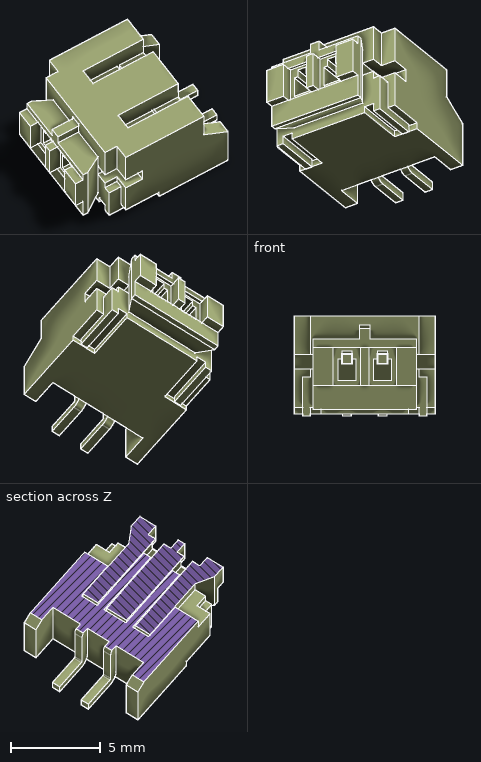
import cadquery as cq
import math


width = 7.9
height = 5.6
board_clearance = 0.1
body_depth = 5.99
wing_depth = 7.59
wing_thickness = 0.82
wing_slope = 30.0
wing_rear_height = 2.88

corner_width = 0.91
corner_depth = 0.8
foot_pocket_width = 1.51
foot_pocket_depth = 3.01
foot_height = 0.49
side_slot_bottom = 2.64
side_slot_height = 0.8
side_slot_depth = 1.9
top_slot_width = 1.01
top_slot_front = 2.0
cavity_depth = 4.39

tab_thickness = 0.43
tab_length = 2.91
tab_height = 2.19

pitch = 1.99
pin_size = 0.5
pin_top = 3.44
pin_tip = 0.0
pin_rear = 8.6
inner_bend = 0.07

plug_width = 4.62
plug_bottom = 0.78
plug_top = 4.31
plug_depth = 4.26
flange_width = 5.8
flange_bottom = 0.38
flange_front = -1.36
flange_taper_front = -1.05
rib_width = 0.6
rib_top = 4.9
rib_headroom = 0.2
bar_front = -1.86
side_bar_width = 1.12
middle_bar_width = 0.46
face_recess_bottom = 1.7
face_recess_top = 3.82
face_recess_depth = 0.2

chamber_depth = 2.93
chamber_bottom = 1.98
chamber_height = 1.21
chamber_width = 1.01
latch_slot_width = 0.56
latch_slot_top = 3.64
pin_hole_size = 0.6
pin_hole_bottom = 2.9

contact_positions = [-pitch / 2, pitch / 2]
pin_bottom = pin_top - pin_size
outer_bend = inner_bend + pin_size
tab_inside = width / 2 - corner_width


def box(x_range, y_range, z_range):
    """Box between the given pairs of coordinates."""
    (x0, x1), (y0, y1), (z0, z1) = x_range, y_range, z_range
    return cq.Workplane("XY").box(x1 - x0, y1 - y0, z1 - z0, centered=False).translate((x0, y0, z0))


def centered_box(box_width, y_range, z_range, x=0):
    """Box of a given width that is centred on x."""
    return box((x - box_width / 2, x + box_width / 2), y_range, z_range)


def both_sides(shape):
    """The shape together with its mirror image across the middle of the connector."""
    return shape.union(shape.mirror("YZ"))


def make_wing():
    """Side wall that runs on behind the body and slopes down to the rear."""
    slope_rise = (wing_depth - body_depth) * math.tan(math.radians(wing_slope))
    return (
        cq.Workplane("YZ")
        .moveTo(body_depth, board_clearance)
        .lineTo(wing_depth, board_clearance)
        .lineTo(wing_depth, wing_rear_height)
        .lineTo(body_depth, wing_rear_height + slope_rise)
        .close()
        .extrude(wing_thickness)
        .translate((width / 2 - wing_thickness, 0, 0))
    )


def make_tab():
    """L-shaped solder tab with its upright at the mouth and its foot on the board."""
    x_range = (tab_inside, tab_inside + tab_thickness)
    upright = box(x_range, (0, corner_depth), (0, tab_height))
    foot = box(x_range, (0, tab_length), (0, foot_height))
    return upright.union(foot)


def make_pin(x):
    """Square contact pin: straight through the rear wall, down behind it, then back along the board."""
    leg_rear = body_depth + pin_size
    upper_center = (leg_rear - outer_bend, pin_top - outer_bend)
    lower_center = (leg_rear + inner_bend, outer_bend)
    diagonal = math.sqrt(0.5)
    return (
        cq.Workplane("YZ")
        .moveTo(pin_tip, pin_top)
        .lineTo(upper_center[0], pin_top)
        .threePointArc(
            (upper_center[0] + outer_bend * diagonal, upper_center[1] + outer_bend * diagonal),
            (leg_rear, upper_center[1]),
        )
        .lineTo(leg_rear, lower_center[1])
        .threePointArc(
            (lower_center[0] - inner_bend * diagonal, lower_center[1] - inner_bend * diagonal),
            (lower_center[0], pin_size),
        )
        .lineTo(pin_rear, pin_size)
        .lineTo(pin_rear, 0)
        .lineTo(lower_center[0], 0)
        .threePointArc(
            (lower_center[0] - outer_bend * diagonal, lower_center[1] - outer_bend * diagonal),
            (body_depth, lower_center[1]),
        )
        .lineTo(body_depth, upper_center[1])
        .threePointArc(
            (upper_center[0] + inner_bend * diagonal, upper_center[1] + inner_bend * diagonal),
            (upper_center[0], pin_bottom),
        )
        .lineTo(pin_tip, pin_bottom)
        .close()
        .extrude(pin_size / 2, both=True)
        .translate((x, 0, 0))
    )


def make_header():
    """Housing with its wings, solder tabs and pins."""
    half = width / 2
    cavity_half = plug_width / 2

    body = centered_box(width, (0, body_depth), (board_clearance, height))
    body = body.union(both_sides(make_wing()))

    cavity = centered_box(plug_width, (0, cavity_depth), (plug_bottom, plug_top))
    rib_groove = centered_box(rib_width, (0, cavity_depth), (plug_top, rib_top + rib_headroom))
    body = body.cut(cavity).cut(rib_groove)

    corner = box((tab_inside, half), (0, corner_depth), (0, height))
    foot_pocket = box((half - foot_pocket_width, half), (0, foot_pocket_depth), (0, foot_height))
    side_slot = box(
        (cavity_half, half),
        (0, side_slot_depth),
        (side_slot_bottom, side_slot_bottom + side_slot_height),
    )
    top_slot = box(
        (cavity_half - top_slot_width, cavity_half),
        (top_slot_front, body_depth),
        (plug_top, height),
    )
    for cut in (corner, foot_pocket, side_slot, top_slot):
        body = body.cut(both_sides(cut))

    body = body.union(both_sides(make_tab()))
    for x in contact_positions:
        body = body.union(make_pin(x))
    return body


def make_flange():
    """Front flange, tapering to the insert at both sides and underneath."""
    insert_half = plug_width / 2
    flange_half = flange_width / 2
    plan = (
        cq.Workplane("XY")
        .polyline([
            (-insert_half, 0),
            (-flange_half, flange_taper_front),
            (-flange_half, flange_front),
            (flange_half, flange_front),
            (flange_half, flange_taper_front),
            (insert_half, 0),
        ])
        .close()
        .extrude(plug_top)
    )
    profile = (
        cq.Workplane("YZ")
        .polyline([
            (0, plug_top),
            (0, plug_bottom),
            (flange_taper_front, flange_bottom),
            (flange_front, flange_bottom),
            (flange_front, plug_top),
        ])
        .close()
        .extrude(flange_half, both=True)
    )
    return plan.intersect(profile)


def make_chamber(x, recess_face):
    """Contact chamber with a latch slot above it and a hole for the pin at its end."""
    chamber_range = (recess_face, chamber_depth)
    chamber_top = chamber_bottom + chamber_height
    main = centered_box(chamber_width, chamber_range, (chamber_bottom, chamber_top), x)
    latch_slot = centered_box(latch_slot_width, chamber_range, (chamber_top, latch_slot_top), x)
    pin_hole = centered_box(
        pin_hole_size,
        (chamber_depth, plug_depth),
        (pin_hole_bottom, pin_hole_bottom + pin_hole_size),
        x,
    )
    return main.union(latch_slot).union(pin_hole)


def make_plug():
    """Plug with a flange, a polarising rib, three grip bars and a chamber for each contact."""
    recess_face = flange_front + face_recess_depth
    bar_range = (bar_front, recess_face)
    recess_heights = (face_recess_bottom, face_recess_top)

    body = centered_box(plug_width, (0, plug_depth), (plug_bottom, plug_top))
    body = body.union(make_flange())
    body = body.union(centered_box(rib_width, (flange_front, plug_depth), (plug_top, rib_top)))

    body = body.cut(centered_box(flange_width, (flange_front, recess_face), recess_heights))
    side_bar = box(
        (flange_width / 2 - side_bar_width, flange_width / 2), bar_range, recess_heights
    )
    body = body.union(both_sides(side_bar))
    body = body.union(centered_box(middle_bar_width, bar_range, recess_heights))

    for x in contact_positions:
        body = body.cut(make_chamber(x, recess_face))
    return body


header = make_header()
plug = make_plug()
result = cq.Compound.makeCompound([header.val(), plug.val()])